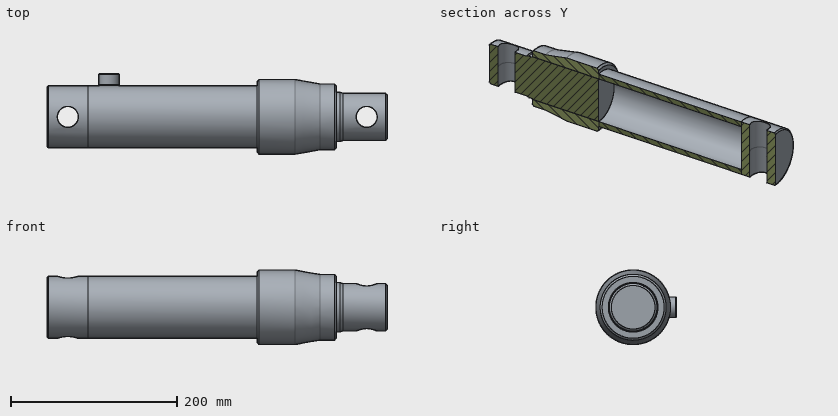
import cadquery as cq

OVERALL_LENGTH = 410.0

BARREL_DIAMETER = 75.0
BARREL_RADIUS = BARREL_DIAMETER / 2
BASE_LENGTH = 49.0
BASE_CHAMFER = 1.5
WALL = 7.5
BORE_RADIUS = BARREL_RADIUS - WALL

PIN_HOLE_DIAMETER = 25.0
PIN_HOLE_INSET = 25.0

PORT_DIAMETER = 25.0
PORT_X = 74.5
PORT_TOP_Y = 52.5
PORT_CHAMFER = 1.2

HEAD_START = 253.0
CONE_START = 299.0
CONE_END = 329.0
HEAD_END = 348.5
HEAD_RADIUS = 45.0
NOSE_RADIUS = 39.8
HEAD_CHAMFER = 2.5

ROD_RADIUS = 30.0
ROD_SHOULDER = 352.5
EYE_START = 356.3
EYE_RADIUS = 28.5
EYE_CHAMFER = 2.5


def cylinder_x(start, end, radius):
    """Solid cylinder along X between two stations."""
    return cq.Workplane("YZ", origin=(start, 0, 0)).circle(radius).extrude(end - start)


def revolve_x(profile):
    """Turn a closed (x, radius) profile about the X axis."""
    return cq.Workplane("XY").polyline(profile).close().revolve(360, (0, 0, 0), (1, 0, 0))


def pin_hole(x):
    """Cutter for a vertical pin hole through the whole barrel."""
    return (
        cq.Workplane("XY")
        .center(x, 0)
        .circle(PIN_HOLE_DIAMETER / 2)
        .extrude(BARREL_RADIUS, both=True)
    )


def make_base():
    """Closed end of the barrel, with its pin hole."""
    plug = cylinder_x(0, BASE_LENGTH, BARREL_RADIUS).faces("<X").chamfer(BASE_CHAMFER)
    return plug.cut(pin_hole(PIN_HOLE_INSET))


def make_tube():
    """Barrel tube from the base to the head."""
    tube = cylinder_x(BASE_LENGTH, HEAD_START, BARREL_RADIUS)
    bore = cylinder_x(BASE_LENGTH, HEAD_START, BORE_RADIUS)
    return tube.cut(bore)


def make_port():
    """Round port boss, chamfered at both ends, resting on the side of the tube."""
    plane = cq.Plane(origin=(PORT_X, BARREL_RADIUS, 0), xDir=(1, 0, 0), normal=(0, 1, 0))
    boss = cq.Workplane(plane).circle(PORT_DIAMETER / 2).extrude(PORT_TOP_Y - BARREL_RADIUS)
    return boss.faces("<Y or >Y").chamfer(PORT_CHAMFER)


def make_head():
    """Head that closes the tube and guides the rod."""
    return revolve_x([
        (HEAD_START, ROD_RADIUS),
        (HEAD_START, HEAD_RADIUS - HEAD_CHAMFER),
        (HEAD_START + HEAD_CHAMFER, HEAD_RADIUS),
        (CONE_START, HEAD_RADIUS),
        (CONE_END, NOSE_RADIUS),
        (HEAD_END - HEAD_CHAMFER, NOSE_RADIUS),
        (HEAD_END, NOSE_RADIUS - HEAD_CHAMFER),
        (HEAD_END, ROD_RADIUS),
    ])


def make_rod():
    """Piston rod with a slightly thinner eye that carries a pin hole."""
    rod = revolve_x([
        (HEAD_START, 0),
        (HEAD_START, ROD_RADIUS),
        (ROD_SHOULDER, ROD_RADIUS),
        (EYE_START, EYE_RADIUS),
        (OVERALL_LENGTH - EYE_CHAMFER, EYE_RADIUS),
        (OVERALL_LENGTH, EYE_RADIUS - EYE_CHAMFER),
        (OVERALL_LENGTH, 0),
    ])
    return rod.cut(pin_hole(OVERALL_LENGTH - PIN_HOLE_INSET))


base = make_base()
tube = make_tube()
port = make_port()
head = make_head()
rod = make_rod()

result = cq.Compound.makeCompound([base.val(), tube.val(), port.val(), head.val(), rod.val()])